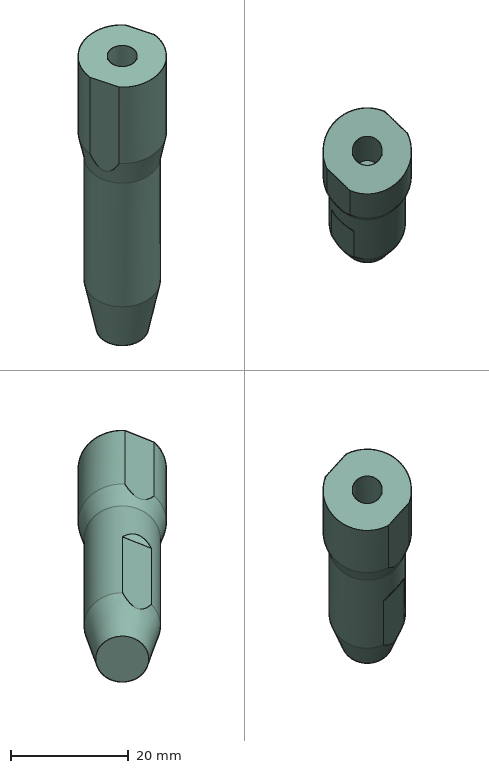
import cadquery as cq
import math

total_length = 65.0
head_diameter = 15.0
body_diameter = 13.0
taper_angle = math.radians(10.0)
head_length = 18.3
tip_length = 11.3

width_across_flats = 14.0

bore_diameter = 5.1
bore_depth = head_length

relief_distance = 5.9
ramp_top = 32.05
ramp_length = 1.6

head_radius = head_diameter / 2
body_radius = body_diameter / 2
tip_radius = body_radius - tip_length * math.tan(taper_angle)
shoulder_top = total_length - head_length
shoulder_bottom = shoulder_top - (head_radius - body_radius) / math.tan(taper_angle)


def make_stem():
    """Revolve the half profile: tip cone, body, shoulder cone and head."""
    return (
        cq.Workplane("XZ")
        .moveTo(0, 0)
        .lineTo(tip_radius, 0)
        .lineTo(body_radius, tip_length)
        .lineTo(body_radius, shoulder_bottom)
        .lineTo(head_radius, shoulder_top)
        .lineTo(head_radius, total_length)
        .lineTo(0, total_length)
        .close()
        .revolve(360, (0, 0), (0, 1))
    )


def make_flats_envelope():
    """Block that keeps only what lies between the two wrench flats."""
    return cq.Workplane("XY").box(
        head_diameter, width_across_flats, total_length, centered=(True, True, False)
    )


def make_bore():
    return (
        cq.Workplane("XY")
        .workplane(offset=total_length - bore_depth)
        .circle(bore_diameter / 2)
        .extrude(bore_depth)
    )


def make_relief():
    """Material removed for the side flat, from its ramp down to the tip."""
    return (
        cq.Workplane("YZ")
        .moveTo(relief_distance, 0)
        .lineTo(relief_distance, ramp_top - ramp_length)
        .lineTo(body_radius, ramp_top)
        .lineTo(head_radius, ramp_top)
        .lineTo(head_radius, 0)
        .close()
        .extrude(body_radius, both=True)
    )


result = make_stem().intersect(make_flats_envelope()).cut(make_bore()).cut(make_relief())